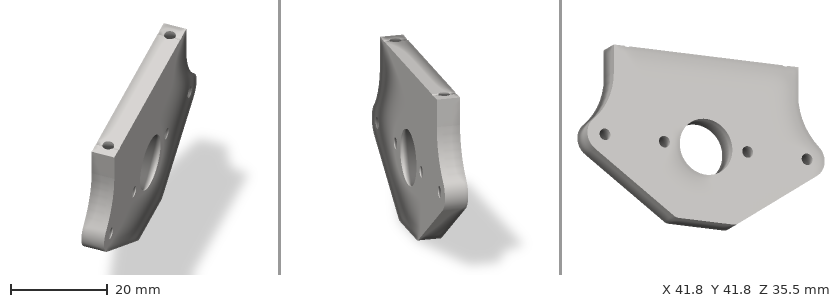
import cadquery as cq
import math

overall_width = 41.75
height = 35.5
thickness = 5.0
plate_length = overall_width * math.sqrt(2) - thickness

ear_radius = 4.0
ear_u = plate_length / 2 - ear_radius
bottom_v = -16.0
top_v = bottom_v + height
neck_half_width = 21.0
neck_height = 6.0
foot_corner_radius = 2.0
foot_corner_u = 6.18

bore_diameter = 12.0
hole_diameter = 2.45
inner_hole_u = 9.47
top_hole_u = 18.0
top_hole_depth = 10.0
drill_tip_angle = 118.0
groove_width = 1.25
groove_depth = 0.15

plate_plane = cq.Plane(origin=(0, 0, 0), xDir=(1, -1, 0), normal=(-1, -1, 0))
front_plane = cq.Plane(plate_plane.toWorldCoords((0, 0, -thickness / 2)), plate_plane.xDir, plate_plane.zDir)


def on_circle(center, radius, angle):
    """Point on a circle at an angle in radians."""
    return (center[0] + radius * math.cos(angle), center[1] + radius * math.sin(angle))


def mirrored(point):
    return (-point[0], point[1])


def make_plate():
    """Plate outline with concave shoulders, round ears and a tapered foot."""
    ear = (ear_u, 0)
    foot_corner = (foot_corner_u, bottom_v + foot_corner_radius)

    shoulder_v = top_v - neck_height
    neck_inset = ear_u - neck_half_width
    shoulder_radius = (neck_inset**2 + shoulder_v**2 - ear_radius**2) / (2 * (ear_radius + neck_inset))
    shoulder = (neck_half_width + shoulder_radius, shoulder_v)
    shoulder_angle = math.atan2(shoulder_v, shoulder[0] - ear_u)

    du = ear[0] - foot_corner[0]
    dv = ear[1] - foot_corner[1]
    taper_angle = math.atan2(dv, du) - math.asin((ear_radius - foot_corner_radius) / math.hypot(du, dv))
    normal_angle = taper_angle - math.pi / 2

    neck_top = (neck_half_width, top_v)
    neck_end = (neck_half_width, shoulder_v)
    shoulder_mid = on_circle(shoulder, shoulder_radius, math.pi + shoulder_angle / 2)
    ear_start = on_circle(ear, ear_radius, shoulder_angle)
    ear_mid = on_circle(ear, ear_radius, (shoulder_angle + normal_angle) / 2)
    ear_end = on_circle(ear, ear_radius, normal_angle)
    foot_start = on_circle(foot_corner, foot_corner_radius, normal_angle)
    foot_mid = on_circle(foot_corner, foot_corner_radius, (normal_angle - math.pi / 2) / 2)
    foot_end = (foot_corner_u, bottom_v)

    return (
        cq.Workplane(front_plane)
        .moveTo(*mirrored(neck_top))
        .lineTo(*neck_top)
        .lineTo(*neck_end)
        .threePointArc(shoulder_mid, ear_start)
        .threePointArc(ear_mid, ear_end)
        .lineTo(*foot_start)
        .threePointArc(foot_mid, foot_end)
        .lineTo(*mirrored(foot_end))
        .threePointArc(mirrored(foot_mid), mirrored(foot_start))
        .lineTo(*mirrored(ear_end))
        .threePointArc(mirrored(ear_mid), mirrored(ear_start))
        .threePointArc(mirrored(shoulder_mid), mirrored(neck_end))
        .close()
        .extrude(thickness)
    )


def through_hole(u, diameter):
    return cq.Workplane(front_plane).center(u, 0).circle(diameter / 2).extrude(thickness)


def drilled_top_hole(u):
    """Blind hole from the top edge, ending in a conical drill tip."""
    radius = hole_diameter / 2
    tip_length = radius / math.tan(math.radians(drill_tip_angle / 2))
    floor_v = top_v - top_hole_depth
    return (
        cq.Workplane(plate_plane)
        .polyline([(u, top_v), (u + radius, top_v), (u + radius, floor_v), (u, floor_v - tip_length)])
        .close()
        .revolve(360, (u, top_v), (u, floor_v))
    )


def top_groove(u):
    """Shallow round-bottomed groove crossing the top edge over a drilled hole."""
    return (
        cq.Workplane(front_plane)
        .moveTo(u - groove_width / 2, top_v)
        .threePointArc((u, top_v - groove_depth), (u + groove_width / 2, top_v))
        .close()
        .extrude(thickness)
    )


result = make_plate().cut(through_hole(0, bore_diameter))
for side in (-1, 1):
    for hole_u in (inner_hole_u, ear_u):
        result = result.cut(through_hole(side * hole_u, hole_diameter))
    result = result.cut(drilled_top_hole(side * top_hole_u))
    result = result.cut(top_groove(side * top_hole_u))